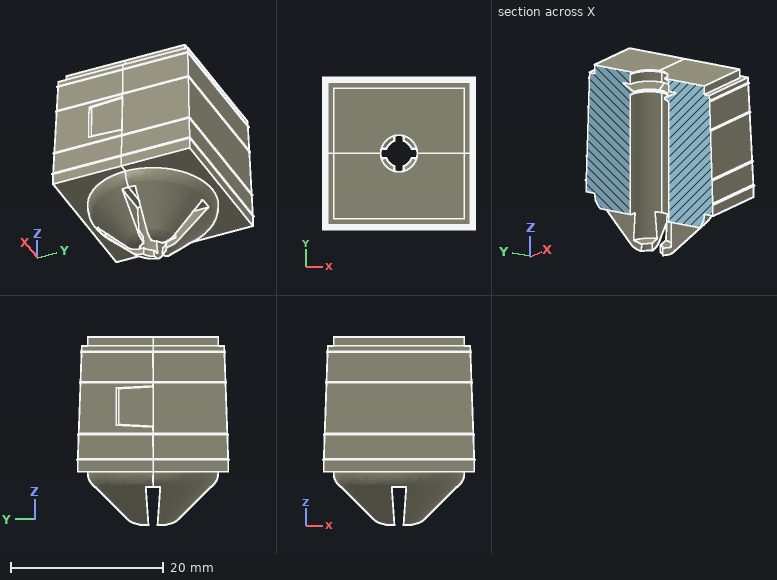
import cadquery as cq
import math

TOTAL_HEIGHT = 24.7
OVERALL_WIDTH = 20.0
LIP_REACH = 0.1
FLANGE_BOTTOM_Z = 6.97
FLANGE_TOP_Z = 8.55
SHOULDER_Z = 23.52
BLOCK_HALF = OVERALL_WIDTH / 2 - LIP_REACH
PAD_HALF = 8.6
DRAFT_ANGLE = 2.0
DRAFT = math.tan(math.radians(DRAFT_ANGLE))

LIPS = [(FLANGE_TOP_Z, 0.17), (11.89, 0.15), (18.7, 0.12), (22.7, 0.1)]

NOSE_RADIUS = PAD_HALF
NOSE_CORNER_Z = 5.93
SHOULDER_ROUND = 2.0
TIP_ROUND = 2.22
TIP_SLOPE = 15.0

RIB_RADIUS = 2.4
TOP_RIB_LIP = 0.07
CHAMBER_RADIUS = 3.0
GROOVE_TOP_Z = 22.95
LOWER_RIB_TOP_Z = 22.05
LOWER_RIB_LIP = 0.22
RIB_SLOPE = 28.0
TIP_OPENING_RADIUS = 1.75
TIP_THICKNESS = 1.0

SLOT_TOP_Z = 5.0
SLOT_TOP_WIDTH = 1.88
SLOT_TIP_WIDTH = 1.15

TAB_LENGTH = 4.5
TAB_CENTRE_Z = 15.57
TAB_ROOT_HEIGHT = 5.2
TAB_END_HEIGHT = 4.7
TAB_INSET = 0.07
TAB_BACK_X = 8.9
TAB_SIDE_GAP = 0.1
TAB_END_GAP = 0.32


def block_half_at(z):
    """Half width of the drafted block at height z."""
    return BLOCK_HALF - (z - FLANGE_TOP_Z) * DRAFT


def square_frustum(bottom_z, bottom_half, top_z, top_half):
    return (
        cq.Workplane("XY", origin=(0, 0, bottom_z))
        .rect(2 * bottom_half, 2 * bottom_half)
        .workplane(offset=top_z - bottom_z)
        .rect(2 * top_half, 2 * top_half)
        .loft(ruled=True)
    )


def block():
    """Square block with drafted sides, sealing lips and a top pad."""
    body = square_frustum(FLANGE_BOTTOM_Z, BLOCK_HALF, FLANGE_TOP_Z, BLOCK_HALF)
    body = body.union(square_frustum(FLANGE_TOP_Z, BLOCK_HALF, SHOULDER_Z, block_half_at(SHOULDER_Z)))
    body = body.union(square_frustum(SHOULDER_Z, PAD_HALF, TOTAL_HEIGHT, PAD_HALF))
    for underside_z, height in LIPS:
        lip_top_z = underside_z + height
        lip_half = block_half_at(underside_z) + LIP_REACH
        body = body.union(square_frustum(underside_z, lip_half, lip_top_z, block_half_at(lip_top_z)))
    return body


def rise(slope, run):
    """Height gained over a run by a line that slopes by this many degrees from level."""
    return run * math.tan(math.radians(slope))


def revolved(outline):
    """Solid of revolution about Z from (radius, height) points."""
    return cq.Workplane("XZ").polyline(outline).close().revolve(360, (0, 0, 0), (0, 1, 0))


def nose():
    """Turned nose: short cylinder, 45 degree cone and shallow tip, with rounds between them."""
    apex_z = -rise(TIP_SLOPE, TIP_OPENING_RADIUS)
    cone_offset = NOSE_RADIUS - NOSE_CORNER_Z
    tip_corner_r = (cone_offset + apex_z) / (1 - rise(TIP_SLOPE, 1))
    tip_corner_z = tip_corner_r - cone_offset
    outline = [
        (0, FLANGE_BOTTOM_Z),
        (NOSE_RADIUS, FLANGE_BOTTOM_Z),
        (NOSE_RADIUS, NOSE_CORNER_Z),
        (tip_corner_r, tip_corner_z),
        (0, apex_z),
    ]
    body = revolved(outline)
    for corner_z, radius in ((tip_corner_z, TIP_ROUND), (NOSE_CORNER_Z, SHOULDER_ROUND)):
        corner = cq.selectors.NearestToPointSelector((0, 0, corner_z))
        body = body.edges("%CIRCLE").edges(corner).fillet(radius)
    return body


def bore():
    """Cable bore: top rib, chamber, groove, lower rib, chamber and the opening in the tip."""
    top_lip_end_z = TOTAL_HEIGHT - TOP_RIB_LIP
    lower_lip_end_z = LOWER_RIB_TOP_Z - LOWER_RIB_LIP
    rib_side_height = rise(RIB_SLOPE, CHAMBER_RADIUS - RIB_RADIUS)
    groove_radius = RIB_RADIUS + (GROOVE_TOP_Z - LOWER_RIB_TOP_Z) / rise(RIB_SLOPE, 1)
    floor_edge_z = TIP_THICKNESS + rise(TIP_SLOPE, CHAMBER_RADIUS - TIP_OPENING_RADIUS)
    below_tip_z = -rise(TIP_SLOPE, TIP_OPENING_RADIUS)
    return revolved([
        (0, TOTAL_HEIGHT),
        (RIB_RADIUS, TOTAL_HEIGHT),
        (RIB_RADIUS, top_lip_end_z),
        (CHAMBER_RADIUS, top_lip_end_z - rib_side_height),
        (CHAMBER_RADIUS, GROOVE_TOP_Z),
        (groove_radius, GROOVE_TOP_Z),
        (RIB_RADIUS, LOWER_RIB_TOP_Z),
        (RIB_RADIUS, lower_lip_end_z),
        (CHAMBER_RADIUS, lower_lip_end_z - rib_side_height),
        (CHAMBER_RADIUS, floor_edge_z),
        (TIP_OPENING_RADIUS, TIP_THICKNESS),
        (TIP_OPENING_RADIUS, below_tip_z),
        (0, below_tip_z),
    ])


def finger_slots():
    """Two crossed slots through the nose, narrowing toward the tip."""
    outline = [
        (-SLOT_TOP_WIDTH / 2, SLOT_TOP_Z),
        (SLOT_TOP_WIDTH / 2, SLOT_TOP_Z),
        (SLOT_TIP_WIDTH / 2, 0),
        (-SLOT_TIP_WIDTH / 2, 0),
    ]
    slot = cq.Workplane("XZ").polyline(outline).close().extrude(NOSE_RADIUS, both=True)
    return slot.union(slot.rotate((0, 0, 0), (0, 0, 1), 90))


def tab_prism(length, root_height, end_height, back_x):
    """Tapered prism on the -X side, from the parting plane toward +Y."""
    outline = [
        (0, TAB_CENTRE_Z - root_height / 2),
        (length, TAB_CENTRE_Z - end_height / 2),
        (length, TAB_CENTRE_Z + end_height / 2),
        (0, TAB_CENTRE_Z + root_height / 2),
    ]
    prism = cq.Workplane("YZ", origin=(-back_x, 0, 0)).polyline(outline).close()
    return prism.extrude(-BLOCK_HALF)


def grommet_half(shell):
    """Half on the -Y side: tab on its -X side, pocket on its +X side."""
    front_space = cq.Workplane("XY", origin=(0, -OVERALL_WIDTH, 0)).box(
        OVERALL_WIDTH, OVERALL_WIDTH, TOTAL_HEIGHT, centered=(True, False, False)
    )
    tab = tab_prism(TAB_LENGTH, TAB_ROOT_HEIGHT, TAB_END_HEIGHT, TAB_BACK_X)
    tab = tab.intersect(shell.translate((TAB_INSET, 0, 0)))
    pocket = tab_prism(
        TAB_LENGTH + TAB_END_GAP,
        TAB_ROOT_HEIGHT + 2 * TAB_SIDE_GAP,
        TAB_END_HEIGHT + 2 * TAB_SIDE_GAP,
        TAB_BACK_X - TAB_SIDE_GAP,
    ).rotate((0, 0, 0), (0, 0, 1), 180)
    return shell.intersect(front_space).cut(pocket).union(tab)


grommet_shell = block().union(nose()).cut(bore()).cut(finger_slots())
halves = []
for turn in (0, 180):
    half = grommet_half(grommet_shell).rotate((0, 0, 0), (0, 0, 1), turn)
    halves.append(half.val())

result = cq.Compound.makeCompound(halves)